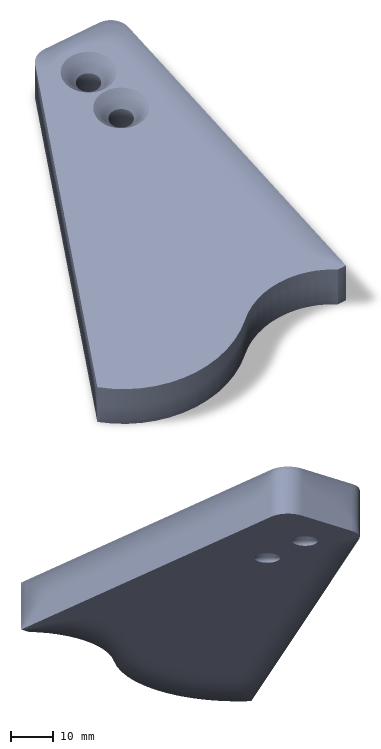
import cadquery as cq

length = 107.4
width = 71.0
thickness = 12.0
corner_radius = 5.0

left_edge_length = 23.7
top_edge_length = 98.1
short_end_drop = 2.4
tip_x = 98.5

hollow_x = 94.0
hollow_y = -14.8
wave_change_x = 99.6
wave_change_y = -29.7
bulge_y = -50.0

hole_count = 2
hole_diameter = 6.0
countersink_diameter = 13.2
countersink_angle = 90
first_hole_x = 12.0
hole_spacing = 14.0
hole_y = -16.0


def make_plate():
    outline = (
        cq.Workplane("XY")
        .moveTo(0, 0)
        .lineTo(top_edge_length, 0)
        .lineTo(top_edge_length, -short_end_drop)
        .threePointArc((hollow_x, hollow_y), (wave_change_x, wave_change_y))
        .threePointArc((length, bulge_y), (tip_x, -width))
        .lineTo(0, -left_edge_length)
        .close()
    )
    return outline.extrude(thickness).edges("|Z and <X").fillet(corner_radius)


def drill_holes(plate):
    hole_centers = [(first_hole_x + i * hole_spacing, hole_y) for i in range(hole_count)]
    return (
        plate.faces(">Z")
        .workplane(origin=(0, 0, thickness))
        .pushPoints(hole_centers)
        .cskHole(hole_diameter, countersink_diameter, countersink_angle)
    )


result = drill_holes(make_plate())